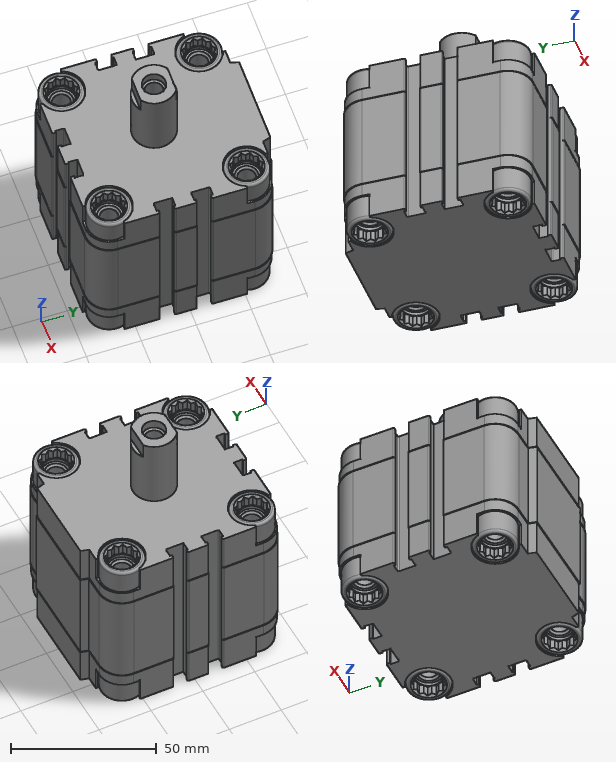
import cadquery as cq
import math


total_height = 93.0
body_height = 65.5
cap_height = 14.4
barrel_width = 68.0
cap_setback = 0.3
screw_spacing = 50.0

rail_height = 3.0
rail_top_half_width = 16.7
rail_flank_angle = 15.0

slot_depth = 4.9
slot_lip = 1.7
slot_mouth_near = 4.0
slot_mouth_far = 9.5
slot_floor_near = 3.4
slot_floor_far = 10.2
slot_corner_radius = 0.5
slot_lip_radius = 0.4

head_diameter = 16.0
head_rounding = 1.0
head_height = 9.5
head_recess_diameter = 16.5
notch_edge = 22.3

socket_rim_diameter = 12.6
socket_across_flats = 10.1
socket_depth = 4.65
recess_diameter = 10.2
recess_depth = 6.0
thread_mouth_diameter = 8.3
screw_hole_diameter = 6.6
hexagon_turns = (0, 30)

rod_diameter = 16.0
flat_spacing = 13.0
flat_height = 6.0
rod_counterbore_diameter = 8.4
rod_counterbore_depth = 3.35
rod_hole_diameter = 6.6
rod_hole_depth = 14.9
drill_half_angle = 60.0

barrel_half_width = barrel_width / 2
screw_offset = screw_spacing / 2
rod_bottom = body_height - cap_height
barrel_height = body_height - 2 * cap_height
corner_radius = barrel_half_width - screw_offset
screw_centers = [(sx * screw_offset, sy * screw_offset) for sx in (-1, 1) for sy in (-1, 1)]


def cylinder_at(x, y, bottom, diameter, height):
    return cq.Workplane("XY", origin=(x, y, bottom)).circle(diameter / 2).extrude(height)


def cone_cut(top_diameter, bottom_diameter, depth):
    """Coaxial cone below z = 0, widest at the top."""
    return cq.Workplane(cq.Solid.makeCone(
        bottom_diameter / 2, top_diameter / 2, depth, cq.Vector(0, 0, -depth)))


def cross_section(bottom, height, setback):
    """Rounded square with the trapezoidal rail on +Y, all faces set back from the barrel faces."""
    half_width = barrel_half_width - setback
    rail_top = barrel_half_width + rail_height - setback
    flank_run = rail_height * math.tan(math.radians(rail_flank_angle))
    top_half_width = rail_top_half_width - setback
    square = (
        cq.Workplane("XY", origin=(0, 0, bottom))
        .rect(2 * half_width, 2 * half_width)
        .extrude(height)
        .edges("|Z")
        .fillet(corner_radius - setback)
    )
    rail = (
        cq.Workplane("XY", origin=(0, 0, bottom))
        .moveTo(-top_half_width - flank_run, half_width)
        .lineTo(-top_half_width, rail_top)
        .lineTo(top_half_width, rail_top)
        .lineTo(top_half_width + flank_run, half_width)
        .close()
        .extrude(height)
    )
    return square.union(rail)


def sensor_slot(bottom, height, setback):
    """T-shaped slot in the -Y face, right of its middle, with rounded lips."""
    face_y = setback - barrel_half_width
    lip_y = slot_lip - barrel_half_width
    floor_y = slot_depth - barrel_half_width
    outside_y = face_y - barrel_half_width
    bulge = slot_lip_radius * (1 - math.sqrt(0.5))
    round_y = face_y + slot_lip_radius
    left_rim = slot_mouth_near - slot_lip_radius
    right_rim = slot_mouth_far + slot_lip_radius
    mouth = (
        cq.Workplane("XY", origin=(0, 0, bottom))
        .moveTo(slot_mouth_near, floor_y)
        .lineTo(slot_mouth_near, round_y)
        .threePointArc((slot_mouth_near - bulge, face_y + bulge), (left_rim, face_y))
        .lineTo(left_rim, outside_y)
        .lineTo(right_rim, outside_y)
        .lineTo(right_rim, face_y)
        .threePointArc((slot_mouth_far + bulge, face_y + bulge), (slot_mouth_far, round_y))
        .lineTo(slot_mouth_far, floor_y)
        .close()
        .extrude(height)
    )
    wide = (
        cq.Workplane("XY", origin=(slot_floor_near, lip_y, bottom))
        .rect(slot_floor_far - slot_floor_near, floor_y - lip_y, centered=False)
        .extrude(height)
        .edges("|Z and >X and >Y")
        .fillet(slot_corner_radius)
    )
    return mouth.union(wide)


def body_segment(bottom, height, setback):
    """Length of the body with the slot pairs on its -Y, +X and -X sides."""
    segment = cross_section(bottom, height, setback)
    slot = sensor_slot(bottom, height, setback)
    for turn in (0, 90, -90):
        for half in (slot, slot.mirror("YZ")):
            segment = segment.cut(half.rotate((0, 0, 0), (0, 0, 1), turn))
    return segment


def head_blank():
    """Screw head with a rounded top rim, on the Z axis with its top at z = 0."""
    return (
        cylinder_at(0, 0, -head_height, head_diameter, head_height)
        .faces(">Z")
        .edges()
        .fillet(head_rounding)
    )


def head_clearance():
    """Space around the head of a +X +Y corner screw, with its axis on Z and its top at z = 0."""
    reach = barrel_half_width
    inset = notch_edge - screw_offset
    corner = cq.Workplane("XY", origin=(inset, inset, -head_height)).rect(reach, reach, centered=False)
    clearance = corner.extrude(head_height)
    clearance = clearance.union(cylinder_at(0, 0, -head_height, head_recess_diameter, head_height))
    return clearance.cut(head_blank())


def socket():
    """Twelve-point socket, recess and thread countersink, with the head top at z = 0."""
    hexagon_diameter = socket_across_flats / math.cos(math.radians(30))
    rim_depth = (socket_rim_diameter - socket_across_flats) / 2
    sink_depth = (thread_mouth_diameter - screw_hole_diameter) / 2
    cut = cylinder_at(0, 0, -recess_depth, recess_diameter, recess_depth)
    cut = cut.union(cone_cut(socket_rim_diameter, socket_across_flats, rim_depth))
    for turn in hexagon_turns:
        hexagon = cq.Workplane("XY").polygon(6, hexagon_diameter).extrude(-socket_depth)
        cut = cut.union(hexagon.rotate((0, 0, 0), (0, 0, 1), turn))
    sink = cone_cut(thread_mouth_diameter, screw_hole_diameter, sink_depth)
    return cut.union(sink.translate((0, 0, -recess_depth)))


def head_cuts():
    """Everything cut from the top of the body around its four screw heads."""
    cuts = cq.Workplane("XY")
    corner_cut = head_clearance().add(socket()).translate((screw_offset, screw_offset, body_height))
    for turn in (0, 90, 180, 270):
        cuts = cuts.add(corner_cut.rotate((0, 0, 0), (0, 0, 1), turn))
    return cuts


def make_housing():
    housing = body_segment(0, cap_height, cap_setback)
    housing = housing.union(body_segment(cap_height, barrel_height, 0))
    housing = housing.union(body_segment(body_height - cap_height, cap_height, cap_setback))
    for cut in head_cuts().vals():
        lower_cut = cut.mirror("XY", cq.Vector(0, 0, body_height / 2))
        housing = housing.cut(cq.Workplane(cut)).cut(cq.Workplane(lower_cut))
    for x, y in screw_centers:
        housing = housing.cut(cylinder_at(x, y, 0, screw_hole_diameter, body_height))
    rod_bore = cylinder_at(0, 0, rod_bottom, rod_diameter, cap_height)
    return housing.cut(rod_bore)


def make_rod():
    rod = cylinder_at(0, 0, rod_bottom, rod_diameter, total_height - rod_bottom)
    for side in (-1, 1):
        flat = cq.Workplane("XY").box(rod_diameter, rod_diameter, flat_height)
        y = side * (flat_spacing + rod_diameter) / 2
        rod = rod.cut(flat.translate((0, y, total_height - flat_height / 2)))
    drill_slope = math.tan(math.radians(drill_half_angle))
    seat_depth = (rod_counterbore_diameter - rod_hole_diameter) / 2 / drill_slope
    tip_depth = rod_hole_diameter / 2 / drill_slope
    hole = (
        cq.Workplane("XZ", origin=(0, 0, total_height))
        .moveTo(0, 0)
        .lineTo(rod_counterbore_diameter / 2, 0)
        .lineTo(rod_counterbore_diameter / 2, -rod_counterbore_depth)
        .lineTo(rod_hole_diameter / 2, -rod_counterbore_depth - seat_depth)
        .lineTo(rod_hole_diameter / 2, -rod_hole_depth)
        .lineTo(0, -rod_hole_depth - tip_depth)
        .close()
        .revolve(360, (0, 0, 0), (0, 1, 0))
    )
    return rod.cut(hole)


housing = make_housing()
rod = make_rod()
result = cq.Compound.makeCompound([housing.val(), rod.val()])